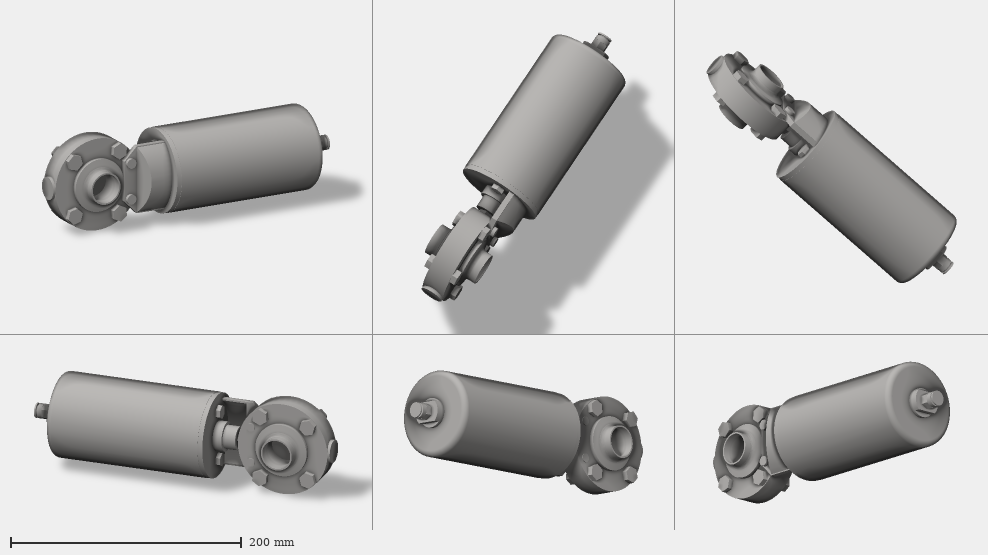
import cadquery as cq
import math


flange_diameter = 83.0
flange_half_width = 10.5
ring_radius = 23.7
ring_face_x = 14.4
pipe_radius = 14.4
pipe_end_x = 25.7
bore_radius = 13.0
cone_foot_x = 16.3
neck_fillet = 3.3

nut_across_corners = 14.5
nut_height = 5.0
nut_circle_radius = 34.5
nut_angles = (55, 135)

disc_thickness = 4.5
stem_square = 8.8
stem_cap_radius = 10.2
stem_cap_seat_y = -37.3
stem_cap_end_y = -43.5

overall_length = 276
cylinder_diameter = 76.0
cylinder_face_y = 64.0
cylinder_end_y = 209.8
cylinder_fillet = 5.0
end_cover_step = 0.3
end_cover_length = 4.5
hub_radius = 13.2
hub_end_y = 55.8
collar_radius = 10.5
collar_end_y = 44.2
socket_depth = 8.3
head_across_corners = 12.5
head_height = 4.1
head_offset_z = 22

fitting_end_y = stem_cap_end_y + overall_length
seat_radius = 13.0
base_height = 3.3
flats_height = 5.2
seat_flats_width = 18.0
fitting_hex_corners = 14.4
fitting_hex_height = 7.0
sleeve_radius = 6.5
neck_radius = 5.0
release_ring_height = 1.5
neck_height = 1.5

plate_thickness = 5.0
plate_half_height = 30.4
plate_end_y = 24.0
corner_y = 36.2
guard_reach_x = 28.5
guard_outer_radius = 39.7
guard_thickness = 3.5
pocket_end_y = 41.7
guard_slope_start_y = 36.5
guard_slope_end_y = 43.5

screw_y = 29.5
screw_z = 16.3
screw_head_radius = 4.5
screw_head_height = 3.3
stud_radius = 4.0
stud_height = 0.8

plate_outer_x = flange_half_width + plate_thickness
guard_axis_x = guard_reach_x - guard_outer_radius


def y_cylinder(radius, start_y, end_y):
    """Solid cylinder on the Y axis between two heights."""
    return cq.Workplane("XZ", origin=(0, end_y, 0)).circle(radius).extrude(end_y - start_y)


def y_hexagon(across_corners, start_y, end_y, z=0):
    """Hexagonal prism along Y with two of its corners towards +Z and -Z."""
    plane = cq.Workplane("XZ", origin=(0, end_y, z)).transformed(rotate=(0, 0, 90))
    return plane.polygon(6, across_corners).extrude(end_y - start_y)


def x_cylinder(radius, start_x, length, y, z):
    """Solid cylinder parallel to the X axis."""
    return cq.Workplane("YZ", origin=(start_x, y, z)).circle(radius).extrude(length)


def square_bar(start_y, end_y):
    """Square bar on the Y axis, standing on its corner."""
    plane = cq.Workplane("XZ", origin=(0, end_y, 0)).transformed(rotate=(0, 0, 45))
    return plane.rect(stem_square, stem_square).extrude(end_y - start_y)


def make_butterfly():
    """Disc that closes the bore, square stem on both sides of it, and a round cap at the stem end."""
    disc = x_cylinder(bore_radius, -disc_thickness / 2, disc_thickness, 0, 0)
    cap = y_cylinder(stem_cap_radius, stem_cap_end_y, stem_cap_seat_y)
    stem = square_bar(stem_cap_seat_y, collar_end_y + socket_depth)
    stem = stem.cut(x_cylinder(bore_radius, -flange_half_width, 2 * flange_half_width, 0, 0))
    return disc.union(stem).union(cap)


def flange_nuts():
    """Four hexagon nuts on the outer flange face, each with a flat facing outwards."""
    nuts = cq.Workplane("YZ")
    for side in (1, -1):
        for angle in nut_angles:
            plane = cq.Workplane("YZ", origin=(flange_half_width, 0, 0))
            plane = plane.transformed(rotate=(0, 0, side * angle))
            nut = plane.center(nut_circle_radius, 0).transformed(rotate=(0, 0, 30))
            nuts = nuts.union(nut.polygon(6, nut_across_corners).extrude(nut_height))
    return nuts


def make_valve_half():
    """Flange, raised ring, conical neck and pipe end on the +X side."""
    half = (
        cq.Workplane("XY")
        .moveTo(0, bore_radius)
        .lineTo(0, flange_diameter / 2)
        .lineTo(flange_half_width, flange_diameter / 2)
        .lineTo(flange_half_width, ring_radius)
        .lineTo(ring_face_x, ring_radius)
        .lineTo(cone_foot_x, pipe_radius)
        .lineTo(pipe_end_x, pipe_radius)
        .lineTo(pipe_end_x, bore_radius)
        .close()
        .revolve(360, (0, 0, 0), (1, 0, 0))
    )
    neck_corner = cq.selectors.NearestToPointSelector((cone_foot_x, 0, 0))
    half = half.edges("%CIRCLE").edges(neck_corner).fillet(neck_fillet)
    half = half.union(flange_nuts())
    half = half.cut(square_bar(stem_cap_seat_y, collar_end_y))
    return half.cut(y_cylinder(stem_cap_radius, stem_cap_end_y, stem_cap_seat_y))


def add_stud_ends(half):
    """Stud ends standing out of the flange face opposite the bracket."""
    for z in (screw_z, -screw_z):
        half = half.union(x_cylinder(stud_radius, -flange_half_width - stud_height, stud_height, screw_y, z))
    return half


def bracket_plate():
    """Plate on the +X flange face, with slanted corners towards the valve."""
    corner_drop = corner_y - plate_end_y
    return (
        cq.Workplane("YZ", origin=(flange_half_width, 0, 0))
        .moveTo(cylinder_face_y, plate_half_height)
        .lineTo(corner_y, plate_half_height)
        .lineTo(plate_end_y, plate_half_height - corner_drop)
        .lineTo(plate_end_y, corner_drop - plate_half_height)
        .lineTo(corner_y, -plate_half_height)
        .lineTo(cylinder_face_y, -plate_half_height)
        .close()
        .extrude(plate_thickness)
    )


def bracket_guard():
    """Bowed guard on the back of the plate, cut off at a slant towards the valve."""
    half_height = math.sqrt(guard_outer_radius**2 - (plate_outer_x - guard_axis_x) ** 2)
    guard = (
        cq.Workplane("XZ", origin=(0, cylinder_face_y, 0))
        .moveTo(plate_outer_x, half_height)
        .threePointArc((guard_reach_x, 0), (plate_outer_x, -half_height))
        .close()
        .extrude(cylinder_face_y - guard_slope_start_y)
    )
    slant = (
        cq.Workplane("XY", origin=(0, 0, -plate_half_height))
        .moveTo(plate_outer_x, guard_slope_start_y)
        .lineTo(guard_reach_x, guard_slope_end_y)
        .lineTo(guard_reach_x, guard_slope_start_y)
        .close()
        .extrude(2 * plate_half_height)
    )
    return guard.cut(slant)


def make_bracket():
    """Plate and guard with a round pocket open to the actuator, and two screw heads."""
    pocket = y_cylinder(guard_outer_radius - guard_thickness, pocket_end_y, cylinder_face_y)
    pocket = pocket.translate((guard_axis_x, 0, 0))
    bracket = bracket_plate().union(bracket_guard()).cut(pocket)
    for z in (screw_z, -screw_z):
        bracket = bracket.union(x_cylinder(screw_head_radius, plate_outer_x, screw_head_height, screw_y, z))
    return bracket


def air_fitting():
    """Seat with two flats, hexagon, sleeve, neck and release ring, stacked along +Y."""
    base_end_y = cylinder_end_y + base_height
    seat_end_y = base_end_y + flats_height
    hexagon_end_y = seat_end_y + fitting_hex_height
    neck_end_y = fitting_end_y - release_ring_height
    sleeve_end_y = neck_end_y - neck_height

    flats = cq.Workplane("XY", origin=(0, base_end_y + flats_height / 2, 0)).box(
        2 * seat_radius, flats_height, seat_flats_width
    )
    fitting = y_cylinder(seat_radius, cylinder_end_y, base_end_y)
    fitting = fitting.union(y_cylinder(seat_radius, base_end_y, seat_end_y).intersect(flats))
    fitting = fitting.union(y_hexagon(fitting_hex_corners, seat_end_y, hexagon_end_y))
    fitting = fitting.union(y_cylinder(sleeve_radius, hexagon_end_y, sleeve_end_y))
    fitting = fitting.union(y_cylinder(neck_radius, sleeve_end_y, neck_end_y))
    return fitting.union(y_cylinder(sleeve_radius, neck_end_y, fitting_end_y))


def make_actuator():
    """Cylinder with its hub, collar and screw heads at the valve end and a fitting at the other."""
    cylinder_radius = cylinder_diameter / 2
    cover_end_y = cylinder_face_y + end_cover_length
    actuator = y_cylinder(cylinder_radius, cover_end_y, cylinder_end_y)
    actuator = actuator.faces(">Y").edges().fillet(cylinder_fillet)
    actuator = actuator.union(y_cylinder(cylinder_radius - end_cover_step, cylinder_face_y, cover_end_y))
    actuator = actuator.union(y_cylinder(hub_radius, hub_end_y, cylinder_face_y))
    actuator = actuator.union(y_cylinder(collar_radius, collar_end_y, hub_end_y))
    actuator = actuator.cut(square_bar(collar_end_y, collar_end_y + socket_depth))
    for z in (head_offset_z, -head_offset_z):
        actuator = actuator.union(
            y_hexagon(head_across_corners, cylinder_face_y - head_height, cylinder_face_y, z)
        )
    return actuator.union(air_fitting())


butterfly = make_butterfly()
valve_half_plus_x = make_valve_half()
valve_half_minus_x = add_stud_ends(make_valve_half().mirror("YZ"))
bracket = make_bracket()
actuator = make_actuator()

result = cq.Compound.makeCompound(
    [
        butterfly.val(),
        valve_half_plus_x.val(),
        valve_half_minus_x.val(),
        bracket.val(),
        actuator.val(),
    ]
)